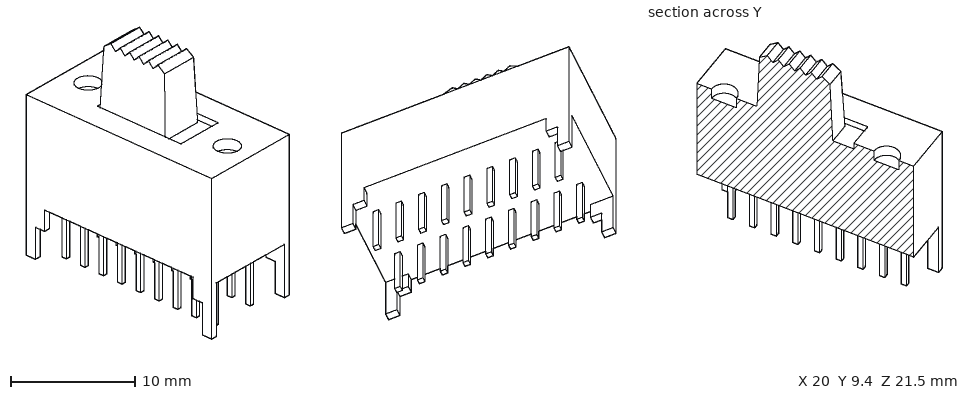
import cadquery as cq

body_length = 20.0
body_width = 9.4
body_height = 10.0

wall_thickness = 0.6
shoulder_length = 2.0
shoulder_drop = 2.0
leg_length = 1.0
leg_drop = 4.99

pin_count = 9
pin_pitch = 2.0
pin_row_spacing = 4.28
pin_size_x = 0.5
pin_size_y = 0.4
pin_drop = 5.5

hole_diameter = 2.28
hole_spacing = 14.99
hole_depth = 1.0

recess_length = 8.99
recess_width = 4.5
recess_depth = 0.6

overall_height = 21.5
slider_base_length = 7.05
slider_base_width = 3.91
slider_tip_length = 6.5
slider_tip_width = 3.48
tooth_count = 6
tooth_pitch = 1.0
tooth_depth = 0.54

slider_top = overall_height - pin_drop
recess_floor = body_height - recess_depth
slider_height = slider_top - recess_floor
slider_center_x = (slider_base_length - recess_length) / 2


def make_body():
    block = cq.Workplane("XY").box(body_length, body_width, body_height, centered=(True, True, False))
    holes = (
        cq.Workplane("XY", origin=(0, 0, body_height))
        .rarray(hole_spacing, 0.22, 2, 1)
        .circle(hole_diameter / 2)
        .extrude(-hole_depth)
    )
    recess = (
        cq.Workplane("XY", origin=(0, 0, body_height))
        .rect(recess_length, recess_width)
        .extrude(-recess_depth)
    )
    return block.cut(holes).cut(recess)


def make_legs():
    """Four legs, each a wide shoulder stepping down to a narrow foot at the block's end."""
    end = body_length / 2
    leg = (
        cq.Workplane("XZ", origin=(0, -body_width / 2 + wall_thickness, 0))
        .moveTo(end, 0)
        .lineTo(end, -leg_drop)
        .lineTo(end - leg_length, -leg_drop)
        .lineTo(end - leg_length, -shoulder_drop)
        .lineTo(end - shoulder_length, -shoulder_drop)
        .lineTo(end - shoulder_length, 0)
        .close()
        .extrude(wall_thickness)
    )
    front_pair = leg.union(leg.mirror("YZ"))
    return front_pair.union(front_pair.mirror("XZ"))


def make_pins():
    return (
        cq.Workplane("XY")
        .rarray(pin_pitch, pin_row_spacing, pin_count, 2)
        .rect(pin_size_x, pin_size_y)
        .extrude(-pin_drop)
    )


def make_slider():
    post = (
        cq.Workplane("XY", origin=(slider_center_x, 0, recess_floor))
        .rect(slider_base_length, slider_base_width)
        .workplane(offset=slider_height)
        .rect(slider_tip_length, slider_tip_width)
        .loft(ruled=True)
    )

    valley_height = slider_height - tooth_depth
    taper_per_side = (slider_base_length - slider_tip_length) / 2
    half_base = slider_base_length / 2
    half_shoulder = half_base - taper_per_side * valley_height / slider_height
    first_peak = -(tooth_count - 1) * tooth_pitch / 2

    outline = [(-half_base, 0), (-half_base, valley_height), (-half_shoulder, valley_height)]
    for tooth in range(tooth_count):
        peak = first_peak + tooth * tooth_pitch
        if tooth > 0:
            outline.append((peak - tooth_pitch / 2, valley_height))
        outline.append((peak, slider_height))
    outline += [(half_shoulder, valley_height), (half_base, valley_height), (half_base, 0)]

    toothed_block = (
        cq.Workplane("XZ", origin=(slider_center_x, 0, recess_floor))
        .polyline(outline)
        .close()
        .extrude(slider_base_width / 2, both=True)
    )
    return post.intersect(toothed_block)


result = make_body().union(make_legs()).union(make_pins()).union(make_slider())